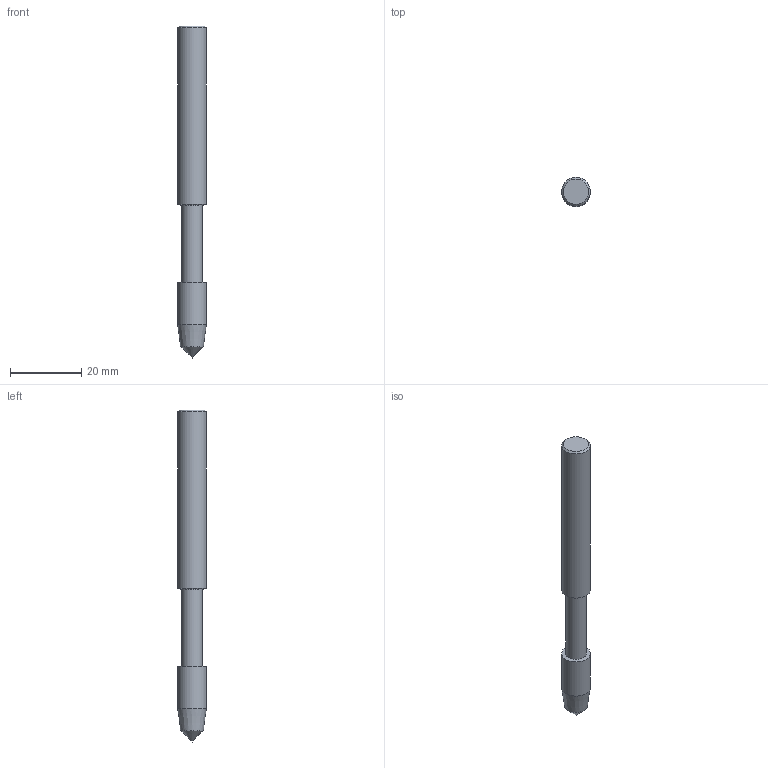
import cadquery as cq

total_length = 93.2
bottom_z = -total_length / 2
top_z = total_length / 2

barrel_radius = 4.04
barrel_length = 50.3
barrel_top_chamfer = 0.5
barrel_end_cone_height = 0.2

rod_radius = 2.9
head_radius = barrel_radius
head_cylinder_height = 11.8
taper_height = 6.2
taper_end_radius = 3.2
point_height = taper_end_radius

barrel_bottom_z = top_z - barrel_length
point_top_z = bottom_z + point_height
taper_top_z = point_top_z + taper_height
head_top_z = taper_top_z + head_cylinder_height


def revolve_profile(points):
    """Turn a closed half profile of (radius, z) points around the Z axis."""
    axis_start = (0, 0, 0)
    axis_end = (0, 1, 0)
    return cq.Workplane("XZ").polyline(points).close().revolve(360, axis_start, axis_end)


def make_barrel():
    return revolve_profile([
        (0, barrel_bottom_z),
        (rod_radius, barrel_bottom_z),
        (barrel_radius, barrel_bottom_z + barrel_end_cone_height),
        (barrel_radius, top_z - barrel_top_chamfer),
        (barrel_radius - barrel_top_chamfer, top_z),
        (0, top_z),
    ])


def make_plunger():
    """The plunger rod ends flush against the bottom face of the barrel."""
    return revolve_profile([
        (0, bottom_z),
        (taper_end_radius, point_top_z),
        (head_radius, taper_top_z),
        (head_radius, head_top_z),
        (rod_radius, head_top_z),
        (rod_radius, barrel_bottom_z),
        (0, barrel_bottom_z),
    ])


barrel = make_barrel()
plunger = make_plunger()

result = cq.Compound.makeCompound([barrel.val(), plunger.val()])